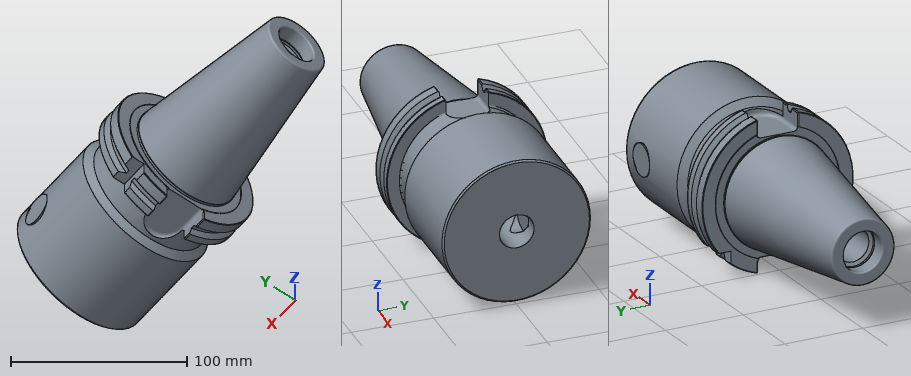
import cadquery as cq
import math

SHANK_LENGTH = 101.6
SHANK_LARGE_D = 70.0
SHANK_TAPER = 7 / 24
SHANK_SMALL_D = SHANK_LARGE_D - SHANK_TAPER * SHANK_LENGTH
SHANK_TIP_FILLET = 1.2
SHANK_RELIEF_D = 69.1

FLANGE_D = 97.4
FLANGE_START = 102.6
FLANGE_END = 120.8
FLANGE_CHAMFER = 0.5
FACE_RECESS_D = 80.0
FACE_RECESS_DEPTH = 0.6
GROOVE_CENTRE = 112.7
GROOVE_FLOOR_D = 90.7
GROOVE_FLOOR_WIDTH = 2.5
GROOVE_FLANK_ANGLE = 30

NECK_D = 80.0
NECK_FILLET = 1.0
HEAD_D = 90.0
HEAD_START = 136.3
HEAD_SHOULDER = 3.6
HEAD_CHAMFER = 1.0
LENGTH = 201.5

SLOT_WIDTH = 25.8
SLOT_CORNER_RADIUS = 2.2
SLOT_EDGE_CHAMFER = 0.6
UPPER_SLOT_FLOOR = 35.3
LOWER_SLOT_FLOOR = 37.7

NOTCH_EDGE = 30.0

PILOT_D = 25.0
PILOT_DEPTH = 9.7
PILOT_MOUTH_RADIUS = 1.0
UNDERCUT_D = 25.5
UNDERCUT_LEAD = 0.6
UNDERCUT_END = 11.7
BORE_CONE_LENGTH = 1.2
BORE_D = 21.0

SCREW_D = 20.0
SCREW_CENTRE = 182.9


def turned_blank():
    """Solid of revolution of the shank, flange, neck and head."""
    flange_r = FLANGE_D / 2
    groove_r = GROOVE_FLOOR_D / 2
    neck_r = NECK_D / 2
    head_r = HEAD_D / 2
    recess_floor = FLANGE_START + FACE_RECESS_DEPTH
    floor_half = GROOVE_FLOOR_WIDTH / 2
    flank = (flange_r - groove_r) * math.tan(math.radians(GROOVE_FLANK_ANGLE))
    groove_half = floor_half + flank
    fillet_mid = NECK_FILLET * (1 - math.sqrt(0.5))
    blank = (
        cq.Workplane("XY")
        .moveTo(0, 0)
        .lineTo(0, SHANK_SMALL_D / 2)
        .lineTo(SHANK_LENGTH, SHANK_LARGE_D / 2)
        .lineTo(SHANK_LENGTH, SHANK_RELIEF_D / 2)
        .lineTo(recess_floor, SHANK_RELIEF_D / 2)
        .lineTo(recess_floor, FACE_RECESS_D / 2)
        .lineTo(FLANGE_START, FACE_RECESS_D / 2)
        .lineTo(FLANGE_START, flange_r - FLANGE_CHAMFER)
        .lineTo(FLANGE_START + FLANGE_CHAMFER, flange_r)
        .lineTo(GROOVE_CENTRE - groove_half, flange_r)
        .lineTo(GROOVE_CENTRE - floor_half, groove_r)
        .lineTo(GROOVE_CENTRE + floor_half, groove_r)
        .lineTo(GROOVE_CENTRE + groove_half, flange_r)
        .lineTo(FLANGE_END - FLANGE_CHAMFER, flange_r)
        .lineTo(FLANGE_END, flange_r - FLANGE_CHAMFER)
        .lineTo(FLANGE_END, neck_r + NECK_FILLET)
        .threePointArc(
            (FLANGE_END + fillet_mid, neck_r + fillet_mid),
            (FLANGE_END + NECK_FILLET, neck_r),
        )
        .lineTo(HEAD_START, neck_r)
        .lineTo(HEAD_START + HEAD_SHOULDER, head_r)
        .lineTo(LENGTH - HEAD_CHAMFER, head_r)
        .lineTo(LENGTH, head_r - HEAD_CHAMFER)
        .lineTo(LENGTH, 0)
        .close()
        .revolve(360, (0, 0, 0), (1, 0, 0))
    )
    return blank.faces("<X").edges().fillet(SHANK_TIP_FILLET)


def axial_bore():
    """Cutter for the pilot with a rounded mouth, the undercut, the cone and the through bore."""
    pilot_r = PILOT_D / 2
    undercut_r = UNDERCUT_D / 2
    bore_r = BORE_D / 2
    return (
        cq.Workplane("XY")
        .moveTo(0, 0)
        .lineTo(0, pilot_r + PILOT_MOUTH_RADIUS)
        .radiusArc((PILOT_MOUTH_RADIUS, pilot_r), -PILOT_MOUTH_RADIUS)
        .lineTo(PILOT_DEPTH, pilot_r)
        .lineTo(PILOT_DEPTH + UNDERCUT_LEAD, undercut_r)
        .lineTo(UNDERCUT_END, undercut_r)
        .lineTo(UNDERCUT_END + BORE_CONE_LENGTH, bore_r)
        .lineTo(LENGTH, bore_r)
        .lineTo(LENGTH, 0)
        .close()
        .revolve(360, (0, 0, 0), (1, 0, 0))
    )


def slot_channel(floor_height):
    """Cutter above floor_height, open at the flange front and round at its other end."""
    half = SLOT_WIDTH / 2
    channel = (
        cq.Workplane("XY", origin=(0, 0, floor_height))
        .moveTo(SHANK_LENGTH, -half)
        .lineTo(FLANGE_END, -half)
        .threePointArc((FLANGE_END + half, 0), (FLANGE_END, half))
        .lineTo(SHANK_LENGTH, half)
        .close()
        .extrude(FLANGE_D / 2 - floor_height + 2)
    )
    return channel.faces("<Z").edges("not <X").fillet(SLOT_CORNER_RADIUS)


def slot_edge_bevels(floor_height):
    """Cutter that bevels the front and outer edges of the slot walls on the flange."""
    half = SLOT_WIDTH / 2
    wide_half = half + SLOT_EDGE_CHAMFER
    flange_r = FLANGE_D / 2
    outer_edge = math.sqrt(flange_r**2 - wide_half**2)
    front = (
        cq.Workplane("XY", origin=(0, 0, floor_height + SLOT_CORNER_RADIUS))
        .moveTo(FLANGE_START, -wide_half)
        .lineTo(FLANGE_START + SLOT_EDGE_CHAMFER, -half)
        .lineTo(FLANGE_START + SLOT_EDGE_CHAMFER, half)
        .lineTo(FLANGE_START, wide_half)
        .close()
        .extrude(flange_r - floor_height)
    )
    outer = (
        cq.Workplane("YZ", origin=(FLANGE_START, 0, 0))
        .moveTo(-half, outer_edge - SLOT_EDGE_CHAMFER)
        .lineTo(-wide_half, outer_edge)
        .lineTo(-wide_half, flange_r)
        .lineTo(wide_half, flange_r)
        .lineTo(wide_half, outer_edge)
        .lineTo(half, outer_edge - SLOT_EDGE_CHAMFER)
        .close()
        .extrude(FLANGE_END - FLANGE_START)
    )
    return front.union(outer)


def drive_slot(floor_height):
    return slot_channel(floor_height).union(slot_edge_bevels(floor_height))


def orientation_notch():
    """Cutter for the notch in the +Y, -Z quarter of the flange."""
    size = FLANGE_D / 2 - NOTCH_EDGE
    notch = cq.Workplane("XY").box(FLANGE_END - FLANGE_START, size, size, centered=False)
    return notch.translate((FLANGE_START, NOTCH_EDGE, -FLANGE_D / 2))


def screw_cylinder(inner_y, outer_y):
    """Cylinder of the screw's diameter that runs along Y from inner_y to outer_y."""
    return (
        cq.Workplane("XZ", origin=(SCREW_CENTRE, inner_y, 0))
        .circle(SCREW_D / 2)
        .extrude(inner_y - outer_y)
    )


def make_holder():
    upper_slot = drive_slot(UPPER_SLOT_FLOOR)
    lower_slot = drive_slot(LOWER_SLOT_FLOOR).rotate((0, 0, 0), (1, 0, 0), 180)
    return (
        turned_blank()
        .cut(axial_bore())
        .cut(upper_slot)
        .cut(lower_slot)
        .cut(orientation_notch())
        .cut(screw_cylinder(0, HEAD_D))
    )


def make_screw():
    """Screw that fills its hole from the axial bore to a flat end level with the head's crest."""
    return screw_cylinder(BORE_D / 2, HEAD_D / 2)


holder = make_holder()
screw = make_screw()
result = cq.Compound.makeCompound([holder.val(), screw.val()])